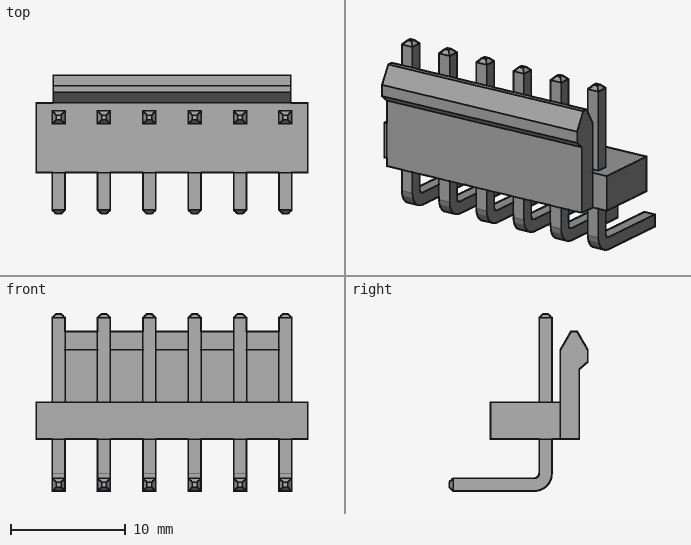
import cadquery as cq


base_length = 23.7
base_depth = 6.1
base_height = 3.22

wall_length = 20.75
wall_thickness = 1.68
wall_height = 9.39
hook_overhang = 0.73
hook_start = 6.1
hook_bottom = 6.73
head_shoulder = 7.77
head_top_width = 0.55

pin_count = 6
pin_pitch = 3.95
pin_width = 1.14
pin_offset = 1.28
pin_top = 10.93
pin_bottom = -4.55
pin_reach = 3.6
bend_inner_radius = 0.43
tip_chamfer = 0.35


def make_base():
    return cq.Workplane("XY").box(
        base_length, base_depth, base_height, centered=(True, False, False)
    ).translate((0, -base_depth, 0))


def make_wall():
    hook_face = wall_thickness + hook_overhang
    head_top_front = (hook_face - head_top_width) / 2
    profile = [
        (0, 0),
        (wall_thickness, 0),
        (wall_thickness, hook_start),
        (hook_face, hook_bottom),
        (hook_face, head_shoulder),
        (head_top_front + head_top_width, wall_height),
        (head_top_front, wall_height),
        (0, head_shoulder),
    ]
    return cq.Workplane("YZ").polyline(profile).close().extrude(wall_length / 2, both=True)


def make_pin():
    """One L-shaped square pin, centred on X = 0, with both ends tapered."""
    bend_radius = bend_inner_radius + pin_width / 2
    bend_y = -pin_offset - bend_radius
    leg_z = pin_bottom + pin_width / 2
    bend_z = leg_z + bend_radius
    diagonal = bend_radius * 0.5**0.5
    front_end = -base_depth - pin_reach

    path = (
        cq.Workplane("YZ")
        .moveTo(-pin_offset, pin_top)
        .lineTo(-pin_offset, bend_z)
        .threePointArc((bend_y + diagonal, bend_z - diagonal), (bend_y, leg_z))
        .lineTo(front_end, leg_z)
    )
    pin = (
        cq.Workplane("XY", origin=(0, -pin_offset, pin_top))
        .rect(pin_width, pin_width)
        .sweep(path)
    )
    pin = pin.faces(">Z").chamfer(tip_chamfer)
    return pin.faces("<Y").chamfer(tip_chamfer)


result = make_base().union(make_wall())
pin = make_pin()
for index in range(pin_count):
    pin_x = (index - (pin_count - 1) / 2) * pin_pitch
    result = result.union(pin.translate((pin_x, 0, 0)))